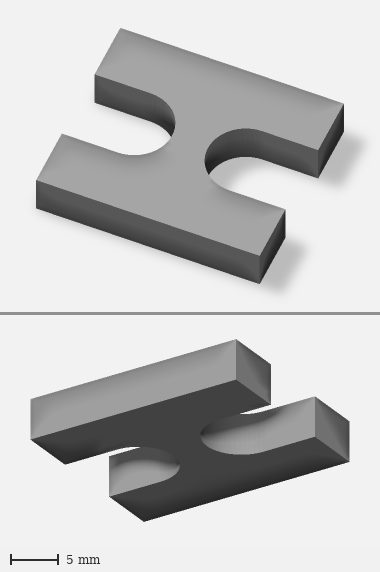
import cadquery as cq

length = 25.4
width = 22.1
thickness = 4.75

slot_width = 8.59
web_width = 4.1

slot_radius = slot_width / 2
slot_depth = (length - web_width) / 2
straight_depth = slot_depth - slot_radius


def end_slot(side):
    """Cutter for the slot in the end on the given side (-1 or +1) of X."""
    end_x = side * length / 2
    arc_start_x = end_x - side * straight_depth
    arc_tip_x = end_x - side * slot_depth
    return (
        cq.Workplane("XY")
        .moveTo(end_x, -slot_radius)
        .lineTo(arc_start_x, -slot_radius)
        .threePointArc((arc_tip_x, 0), (arc_start_x, slot_radius))
        .lineTo(end_x, slot_radius)
        .close()
        .extrude(thickness)
    )


result = cq.Workplane("XY").box(length, width, thickness, centered=(True, True, False))
for side in (-1, 1):
    result = result.cut(end_slot(side))